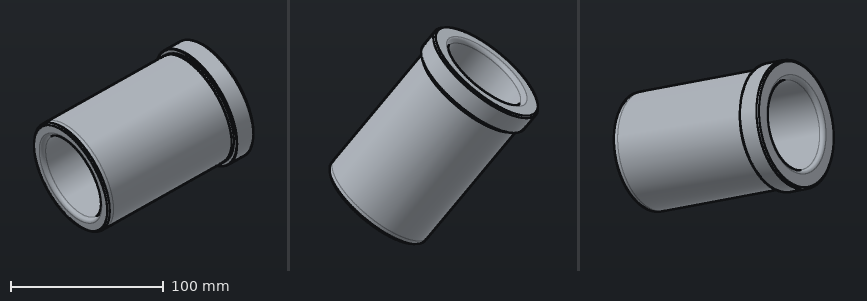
import cadquery as cq

length = 120.0
flange_radius = 86.0 / 2
flange_thickness = 15.0
body_radius = 80.0 / 2
bore_radius = 30.0

flange_back_chamfer = 1.2
flange_front_chamfer = 0.4
undercut_depth = 0.4
undercut_width = 2.0
face_relief_depth = 0.2
face_relief_reach = 0.6
lead_length = 4.2
lead_taper = 0.1
entry_chamfer = 1.2
bore_fillet = 3.0

entry_y = -length / 2
back_y = length / 2
shoulder_y = back_y - flange_thickness
undercut_end_y = shoulder_y - undercut_width
lead_end_y = entry_y + lead_length
neck_radius = body_radius - undercut_depth
lead_radius = body_radius - lead_taper

half_section = [
    (bore_radius, entry_y),
    (lead_radius - entry_chamfer, entry_y),
    (lead_radius, entry_y + entry_chamfer),
    (body_radius, lead_end_y),
    (body_radius, undercut_end_y),
    (neck_radius, undercut_end_y + undercut_depth),
    (neck_radius, shoulder_y + face_relief_depth),
    (body_radius + face_relief_reach, shoulder_y),
    (flange_radius - flange_front_chamfer, shoulder_y),
    (flange_radius, shoulder_y + flange_front_chamfer),
    (flange_radius, back_y - flange_back_chamfer),
    (flange_radius - flange_back_chamfer, back_y),
    (bore_radius, back_y),
]
bush = cq.Workplane("XY").polyline(half_section).close().revolve(360, (0, 0), (0, 1))

for end in ("<Y", ">Y"):
    bush = bush.faces(end).edges(cq.selectors.RadiusNthSelector(0)).fillet(bore_fillet)

result = bush